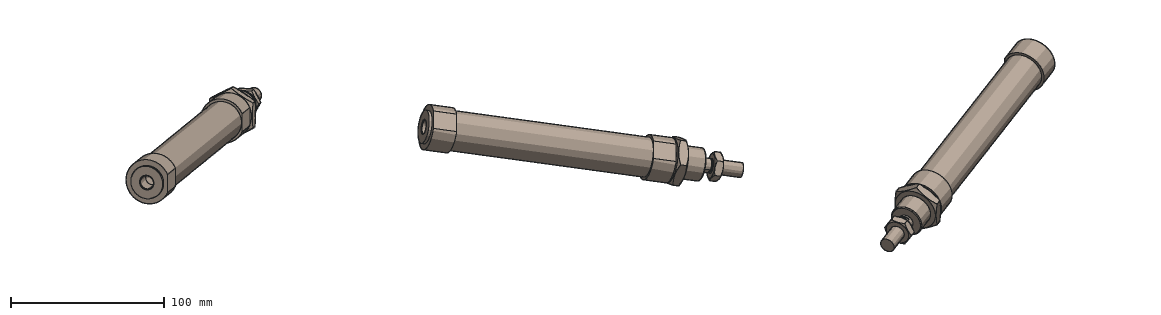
import cadquery as cq
import math

total_length = 220.5

barrel_diameter = 26.5
cap_diameter = 30.0
cap_flat_offset = 13.7
pilot_diameter = 22.0
pilot_length = 2.0
rear_cap_length = 16.0
front_cap_start = 154.8
front_cap_length = 15.7
nose_diameter = pilot_diameter
nose_end = 192.5
nose_chamfer = 0.7
front_cap_end = front_cap_start + front_cap_length

port_diameter = 8.8
port_mouth_diameter = 10.0
port_depth = 11.0
port_tip_angle = 118.0

rod_diameter = 10.0
rod_bottom = front_cap_end
neck_diameter = 8.0
neck_start = 198.5
wrench_flat_width = 8.2
wrench_flat_length = 4.5

mount_nut_flats = 30.0
mount_nut_height = 7.3
mount_nut_start = 171.5
mount_nut_face_diameter = 29.0
rod_nut_flats = 17.0
rod_nut_height = 6.0
rod_nut_start = 199.5
rod_nut_face_diameter = 16.3
nut_chamfer_angle = 30.0

neck_length = rod_nut_start - neck_start


def cylinder_along_y(diameter, start, length):
    """Solid cylinder on the Y axis from start towards +Y."""
    base = cq.Workplane("XZ", origin=(0, start, 0))
    return base.circle(diameter / 2).extrude(-length)


def make_cap(start, length):
    """Round end cap with one flat on its +X side."""
    flat_keeper = cq.Workplane("XY").box(
        cap_diameter, length, cap_diameter
    ).translate((cap_flat_offset - cap_diameter / 2, start + length / 2, 0))
    return cylinder_along_y(cap_diameter, start, length).intersect(flat_keeper)


def make_port():
    """Drilled port with a 45 degree mouth and a conical bottom."""
    radius = port_diameter / 2
    mouth_radius = port_mouth_diameter / 2
    tip_length = radius / math.tan(math.radians(port_tip_angle / 2))
    profile = cq.Workplane("XY").polyline([
        (0, 0),
        (mouth_radius, 0),
        (radius, mouth_radius - radius),
        (radius, port_depth),
        (0, port_depth + tip_length),
    ]).close()
    return profile.revolve(360, (0, 0, 0), (0, 1, 0))


def make_housing():
    """Barrel with its caps, pilot, nose, rear port and rod socket."""
    pilot = cylinder_along_y(pilot_diameter, 0, pilot_length)
    rear_cap = make_cap(pilot_length, rear_cap_length)
    barrel_start = pilot_length + rear_cap_length
    barrel = cylinder_along_y(barrel_diameter, barrel_start, front_cap_start - barrel_start)
    front_cap = make_cap(front_cap_start, front_cap_length)
    nose = cylinder_along_y(nose_diameter, front_cap_end, nose_end - front_cap_end)
    nose = nose.faces(">Y").chamfer(nose_chamfer)
    body = pilot.union(rear_cap).union(barrel).union(front_cap).union(nose)
    rod_socket = cylinder_along_y(rod_diameter, rod_bottom, nose_end - rod_bottom)
    return body.cut(make_port()).cut(rod_socket)


def make_rod():
    """Piston rod with two wrench flats and a relief neck behind the rod nut."""
    rod = cylinder_along_y(rod_diameter, rod_bottom, total_length - rod_bottom)
    relief = cylinder_along_y(rod_diameter, neck_start, neck_length)
    relief = relief.cut(cylinder_along_y(neck_diameter, neck_start, neck_length))
    flat_zone = cq.Workplane("XY").box(rod_diameter, wrench_flat_length, rod_diameter)
    flat_core = cq.Workplane("XY").box(rod_diameter, wrench_flat_length, wrench_flat_width)
    flat_cuts = flat_zone.cut(flat_core).translate((0, neck_start - wrench_flat_length / 2, 0))
    return rod.cut(relief).cut(flat_cuts)


def make_nut(flats, height, start, face_diameter, bore_diameter, turn):
    """Hex nut on the Y axis with conically chamfered corners at both faces.

    A turn of 0 puts corners on the X axis; 30 degrees puts them on the Z axis.
    """
    corner_diameter = flats / math.cos(math.radians(30))
    blank = cq.Workplane("XZ", origin=(0, start, 0)).polygon(6, corner_diameter).extrude(-height)
    blank = blank.rotate((0, 0, 0), (0, 1, 0), turn)
    face_radius = face_diameter / 2
    corner_radius = corner_diameter / 2
    chamfer_height = (corner_radius - face_radius) * math.tan(math.radians(nut_chamfer_angle))
    end = start + height
    envelope = cq.Workplane("XY").polyline([
        (0, start),
        (face_radius, start),
        (corner_radius, start + chamfer_height),
        (corner_radius, end - chamfer_height),
        (face_radius, end),
        (0, end),
    ]).close().revolve(360, (0, 0, 0), (0, 1, 0))
    return blank.intersect(envelope).cut(cylinder_along_y(bore_diameter, start, height))


housing = make_housing()
rod = make_rod()
mount_nut = make_nut(
    mount_nut_flats, mount_nut_height, mount_nut_start, mount_nut_face_diameter, nose_diameter, 30
)
rod_nut = make_nut(rod_nut_flats, rod_nut_height, rod_nut_start, rod_nut_face_diameter, rod_diameter, 0)

result = cq.Compound.makeCompound([housing.val(), rod.val(), mount_nut.val(), rod_nut.val()])